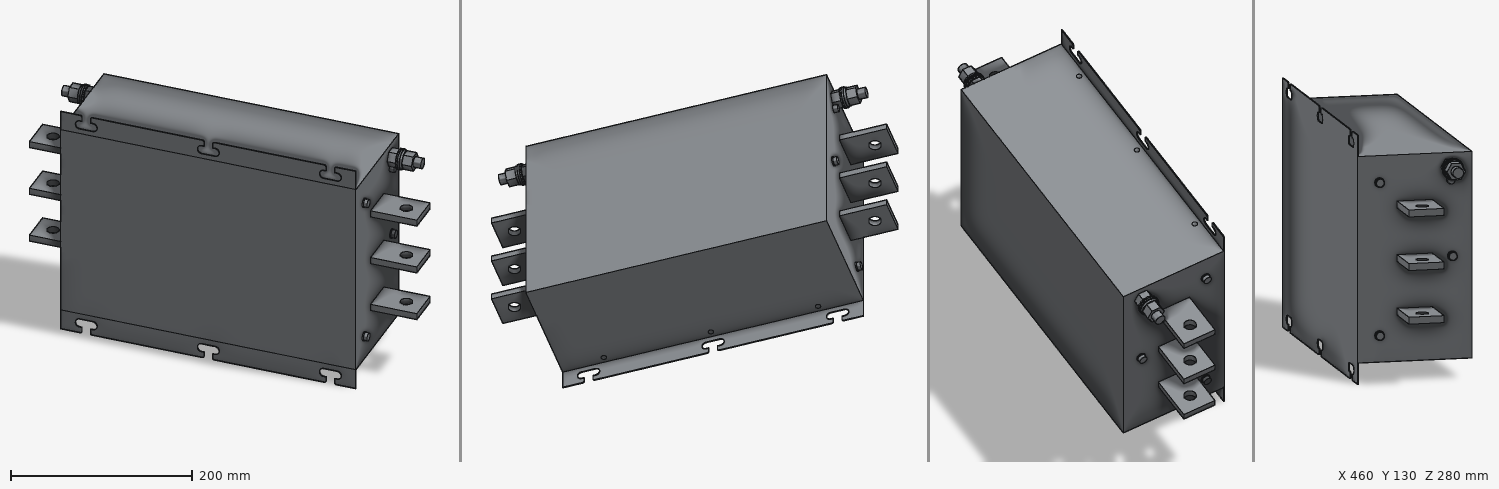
import cadquery as cq
import math

overall_length = 460.0
overall_depth = 130.0
housing_length = 350.0
housing_height = 232.5
plate_height = 280.0
plate_thickness = 1.2

slot_pitch = 145.0
slot_length = 25.8
slot_width = 10.0
slot_edge_distance = 12.5
slot_neck_width = 10.0
slot_mouth_radius = 2.5

bar_width = 40.0
bar_thickness = 8.0
bar_pitch = 60.3
bar_hole_diameter = 14.0
bar_hole_tip_distance = 20.2

stud_height = 100.0
stud_back_distance = 25.0
stud_diameter = 12.0
stud_length = 38.0
nut_across_flats = 18.5
base_nut_thickness = 10.0
outer_nut_thickness = 11.5
lock_washer_diameter = 24.0
lock_washer_thickness = 2.5
lock_washer_teeth = 16
lock_washer_tooth_depth = 1.5
flat_washer_diameter = 24.0
flat_washer_thickness = 2.5
spring_washer_diameter = 21.5
spring_washer_thickness = 2.8

screw_front_distance = 25.0
screw_back_distance = 22.5
screw_height = 86.0
screw_head_diameter = 9.0
screw_head_length = 5.5
screw_collar_diameter = 10.5
screw_collar_length = 1.5

pin_diameter = 8.5
pin_length = 5.5
pin_height = 85.5

countersink_pitch = 124.5
countersink_front_distance = 8.5
countersink_diameter = 6.0
countersink_angle = 120.0

front_face = -overall_depth / 2
back_face = overall_depth / 2
end_wall = housing_length / 2
stud_y = back_face - stud_back_distance


def end_plane(distance):
    """Sketch plane on the +X end wall, offset outwards; local x is Y and local y is Z."""
    return cq.Workplane("YZ", origin=(end_wall + distance, 0, 0))


def end_disc(y, z, diameter, start, length):
    return end_plane(start).center(y, z).circle(diameter / 2).extrude(length)


def make_housing():
    depth = overall_depth - plate_thickness
    housing = cq.Workplane("XY").box(housing_length, depth, housing_height)
    return housing.translate((0, plate_thickness / 2, 0))


def make_plate():
    plate = cq.Workplane("XY").box(housing_length, plate_thickness, plate_height)
    edge_z = plate_height / 2
    slot_z = edge_z - slot_edge_distance
    corner_reach = slot_neck_width / 2 + slot_mouth_radius
    for side in (-1, 1):
        for x in (-slot_pitch, 0, slot_pitch):
            slot = cq.Workplane("XZ").center(x, side * slot_z).slot2D(slot_length, slot_width)
            neck = cq.Workplane("XZ").center(x, side * (slot_z + slot_edge_distance / 2))
            neck = neck.rect(slot_neck_width, slot_edge_distance)
            plate = plate.cut(slot.extrude(plate_thickness, both=True))
            plate = plate.cut(neck.extrude(plate_thickness, both=True))
            corners = cq.selectors.BoxSelector(
                (x - corner_reach, -plate_thickness, side * edge_z - slot_mouth_radius),
                (x + corner_reach, plate_thickness, side * edge_z + slot_mouth_radius),
            )
            plate = plate.edges("|Y").edges(corners).fillet(slot_mouth_radius)
    return plate.translate((0, front_face + plate_thickness / 2, 0))


def make_bar(z):
    length = overall_length / 2 - end_wall
    hole_x = overall_length / 2 - bar_hole_tip_distance
    bar = end_plane(0).center(0, z).rect(bar_width, bar_thickness).extrude(length)
    hole = cq.Workplane("XY", origin=(hole_x, 0, z)).circle(bar_hole_diameter / 2)
    hole = hole.extrude(bar_thickness, both=True)
    return bar.cut(hole)


def make_nut(start, thickness):
    across_corners = nut_across_flats / math.cos(math.pi / 6)
    return end_plane(start).center(stud_y, stud_height).polygon(6, across_corners).extrude(thickness)


def make_lock_washer(start):
    tip_radius = lock_washer_diameter / 2
    root_radius = tip_radius - lock_washer_tooth_depth
    points = []
    for i in range(2 * lock_washer_teeth):
        radius = tip_radius if i % 2 == 0 else root_radius
        angle = math.pi * i / lock_washer_teeth
        points.append((radius * math.cos(angle), radius * math.sin(angle)))
    washer = end_plane(start).center(stud_y, stud_height).polyline(points).close()
    return washer.extrude(lock_washer_thickness)


def make_washer(diameter, start, thickness):
    return end_disc(stud_y, stud_height, diameter, start, thickness)


def make_stud():
    stud = end_disc(stud_y, stud_height, stud_diameter, 0, stud_length)
    stud = stud.union(make_nut(0, base_nut_thickness))
    position = base_nut_thickness
    stud = stud.union(make_lock_washer(position))
    position += lock_washer_thickness
    stud = stud.union(make_washer(flat_washer_diameter, position, flat_washer_thickness))
    position += flat_washer_thickness
    stud = stud.union(make_washer(spring_washer_diameter, position, spring_washer_thickness))
    position += spring_washer_thickness
    return stud.union(make_nut(position, outer_nut_thickness))


def make_screw(y, z):
    collar = end_disc(y, z, screw_collar_diameter, 0, screw_collar_length)
    return collar.union(end_disc(y, z, screw_head_diameter, 0, screw_head_length))


def make_countersink(x):
    """Cone to be cut from the top wall, point down."""
    mouth_radius = countersink_diameter / 2
    depth = mouth_radius / math.tan(math.radians(countersink_angle / 2))
    tip = cq.Vector(x, front_face + countersink_front_distance, housing_height / 2 - depth)
    return cq.Workplane(cq.Solid.makeCone(0, mouth_radius, depth, tip, cq.Vector(0, 0, 1)))


def make_end_fittings():
    fittings = make_stud()
    for z in (-bar_pitch, 0, bar_pitch):
        fittings = fittings.union(make_bar(z))
    screw_places = (
        (front_face + screw_front_distance, screw_height),
        (front_face + screw_front_distance, -screw_height),
        (back_face - screw_back_distance, 0),
    )
    for y, z in screw_places:
        fittings = fittings.union(make_screw(y, z))
    return fittings.union(end_disc(stud_y, pin_height, pin_diameter, 0, pin_length))


end_fittings = make_end_fittings()
result = make_housing().union(make_plate())
result = result.union(end_fittings).union(end_fittings.mirror("YZ"))
for countersink_x in (-countersink_pitch, 0, countersink_pitch):
    countersink = make_countersink(countersink_x)
    result = result.cut(countersink).cut(countersink.mirror("XY"))